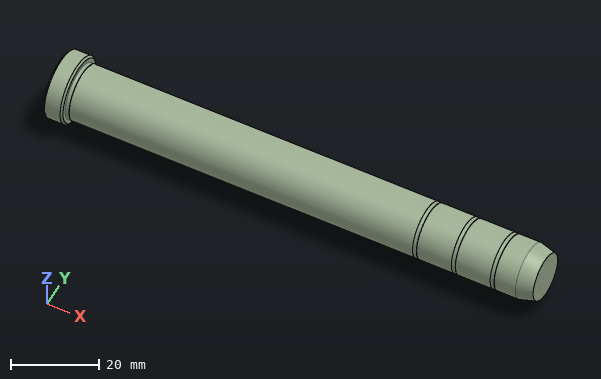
import cadquery as cq
import math

length = 125.0
head_diameter = 17.0
head_length = 5.0
head_chamfer = 0.5
shank_diameter = 14.0

groove_width = 1.0
groove_depth = 0.5
groove_pitch = 10.0
tip_groove_count = 3
first_tip_groove_center = 95.0

taper_length = 4.0
taper_angle = 15.0

head_radius = head_diameter / 2
shank_radius = shank_diameter / 2
tip_radius = shank_radius - taper_length * math.tan(math.radians(taper_angle))
neck_groove_center = head_length + groove_width / 2
tip_groove_centers = [first_tip_groove_center + i * groove_pitch for i in range(tip_groove_count)]


def add_head(profile):
    """Head outline with both rims chamfered, ending on its rear face."""
    return (
        profile.lineTo(0, head_radius - head_chamfer)
        .lineTo(head_chamfer, head_radius)
        .lineTo(head_length - head_chamfer, head_radius)
        .lineTo(head_length, head_radius - head_chamfer)
    )


def add_groove(profile, center):
    """Straight run to the groove's near edge, then the concave arc across it."""
    start = center - groove_width / 2
    end = center + groove_width / 2
    return profile.lineTo(start, shank_radius).threePointArc(
        (center, shank_radius - groove_depth), (end, shank_radius)
    )


def add_tip(profile):
    """Remaining shank, conical lead-in and flat end face back to the axis."""
    return (
        profile.lineTo(length - taper_length, shank_radius)
        .lineTo(length, tip_radius)
        .lineTo(length, 0)
    )


half_outline = add_head(cq.Workplane("XZ").moveTo(0, 0))
for groove_center in [neck_groove_center] + tip_groove_centers:
    half_outline = add_groove(half_outline, groove_center)
half_outline = add_tip(half_outline).close()

result = half_outline.revolve(360, (0, 0, 0), (1, 0, 0))